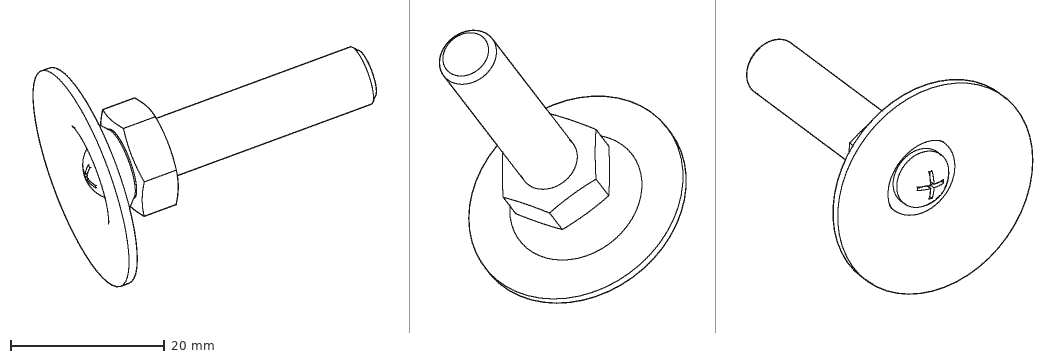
import cadquery as cq
import math

total_length = 41.0

plate_diameter = 30.0
plate_thickness = 1.2
cone_base_diameter = 18.5
neck_diameter = 9.6
cone_top = 5.6

recess_floor_diameter = 11.0
recess_flare_radius = 4.0

dome_diameter = 8.0
dome_edge = 3.1
dome_height = 2.4
slot_length = 4.0
slot_width = 0.5
slot_depth = 1.0

nut_across_flats = 13.0
nut_bottom = 5.8
nut_top = 11.0
nut_chamfer_height = 0.3
nut_chamfer_width = 1.0

stud_diameter = 8.0
stud_chamfer = 0.8


def revolve_about_y(profile):
    """Turn a closed XY profile through a full circle about the Y axis."""
    return profile.close().revolve(360, (0, 0, 0), (0, 1, 0))


def make_foot():
    plate_radius = plate_diameter / 2
    neck_radius = neck_diameter / 2
    floor_radius = recess_floor_diameter / 2
    rim_radius = floor_radius + recess_flare_radius
    arc_offset = recess_flare_radius * (1 - math.sin(math.radians(45)))
    profile = (
        cq.Workplane("XY")
        .moveTo(0, recess_flare_radius)
        .lineTo(floor_radius, recess_flare_radius)
        .threePointArc((floor_radius + arc_offset, arc_offset), (rim_radius, 0))
        .lineTo(plate_radius, 0)
        .lineTo(plate_radius, plate_thickness)
        .lineTo(cone_base_diameter / 2, plate_thickness)
        .lineTo(neck_radius, cone_top)
        .lineTo(neck_radius, nut_bottom)
        .lineTo(0, nut_bottom)
    )
    return revolve_about_y(profile)


def make_nut():
    height = nut_top - nut_bottom
    across_corners = nut_across_flats / math.cos(math.radians(30))
    corner_radius = across_corners / 2
    face_radius = corner_radius - nut_chamfer_width
    hexagon = (
        cq.Workplane("XZ", origin=(0, nut_bottom, 0))
        .transformed(rotate=(0, 0, 90))
        .polygon(6, across_corners)
        .extrude(-height)
    )
    chamfer_envelope = revolve_about_y(
        cq.Workplane("XY")
        .moveTo(0, nut_bottom)
        .lineTo(face_radius, nut_bottom)
        .lineTo(corner_radius, nut_bottom + nut_chamfer_height)
        .lineTo(corner_radius, nut_top - nut_chamfer_height)
        .lineTo(face_radius, nut_top)
        .lineTo(0, nut_top)
    )
    return hexagon.intersect(chamfer_envelope)


def make_stud():
    radius = stud_diameter / 2
    profile = (
        cq.Workplane("XY")
        .moveTo(0, nut_bottom)
        .lineTo(radius, nut_bottom)
        .lineTo(radius, total_length - stud_chamfer)
        .lineTo(radius - stud_chamfer, total_length)
        .lineTo(0, total_length)
    )
    return revolve_about_y(profile)


def make_dome():
    edge_radius = dome_diameter / 2
    sphere_radius = (edge_radius**2 + dome_height**2) / (2 * dome_height)
    crown = dome_edge - dome_height
    sphere_center = crown + sphere_radius
    half_angle = math.asin(edge_radius / sphere_radius) / 2
    arc_middle = (
        sphere_radius * math.sin(half_angle),
        sphere_center - sphere_radius * math.cos(half_angle),
    )
    dome = revolve_about_y(
        cq.Workplane("XY")
        .moveTo(0, crown)
        .threePointArc(arc_middle, (edge_radius, dome_edge))
        .lineTo(edge_radius, nut_bottom)
        .lineTo(0, nut_bottom)
    )
    slot_bottom = crown + slot_depth
    for size_x, size_z in ((slot_length, slot_width), (slot_width, slot_length)):
        slot = cq.Workplane("XY").box(size_x, slot_bottom, size_z)
        slot = slot.translate((0, slot_bottom / 2, 0))
        dome = dome.cut(slot)
    return dome


result = make_foot().union(make_dome()).union(make_nut()).union(make_stud())